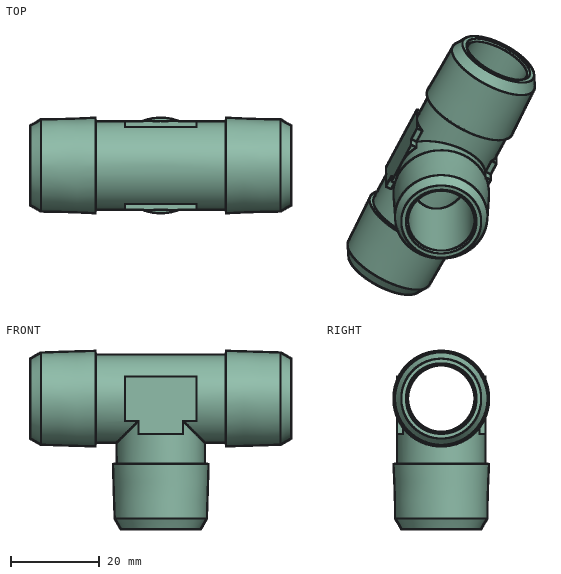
import cadquery as cq

arm_length = 29.5
pipe_radius = 20.0 / 2
bore_radius = 15.0 / 2

collar_length = 14.75
shoulder_radius = 21.65 / 2
shoulder_slope = 0.1
taper_end_radius = 10.45
tip_radius = 9.0
tip_length = 2.5
bore_chamfer = 0.5

pad_width = 16.15
pad_half_height = 5.0
stem_width = 10.15
stem_bottom = -7.95


def revolve_profile(points):
    """Revolve (radius, height) points about the Z axis."""
    return cq.Workplane("XZ").polyline(points).close().revolve(360, (0, 0, 0), (0, 1, 0))


def arm_body():
    """Solid arm along -Z from the origin, with its tapered collar."""
    shoulder = collar_length - arm_length
    return revolve_profile([
        (0, 0),
        (pipe_radius, 0),
        (pipe_radius, shoulder + shoulder_slope),
        (shoulder_radius, shoulder),
        (taper_end_radius, tip_length - arm_length),
        (tip_radius, -arm_length),
        (0, -arm_length),
    ])


def arm_bore():
    """Bore of one arm with a chamfered mouth."""
    return revolve_profile([
        (0, 0),
        (bore_radius, 0),
        (bore_radius, bore_chamfer - arm_length),
        (bore_radius + bore_chamfer, -arm_length),
        (0, -arm_length),
    ])


def tee(arm):
    """Combine three copies of an arm pointing to -Z, -X and +X."""
    combined = arm
    for angle in (90, -90):
        combined = combined.union(arm.rotate((0, 0, 0), (0, 1, 0), angle))
    return combined


def pads():
    """T-shaped block spanning the body in Y; its ends are the two pads."""
    depth = 2 * pipe_radius
    stem_height = pad_half_height - stem_bottom
    head = cq.Workplane("XY").box(pad_width, depth, 2 * pad_half_height)
    stem = (
        cq.Workplane("XY")
        .box(stem_width, depth, stem_height)
        .translate((0, 0, stem_bottom + stem_height / 2))
    )
    return head.union(stem)


result = tee(arm_body()).union(pads()).cut(tee(arm_bore()))